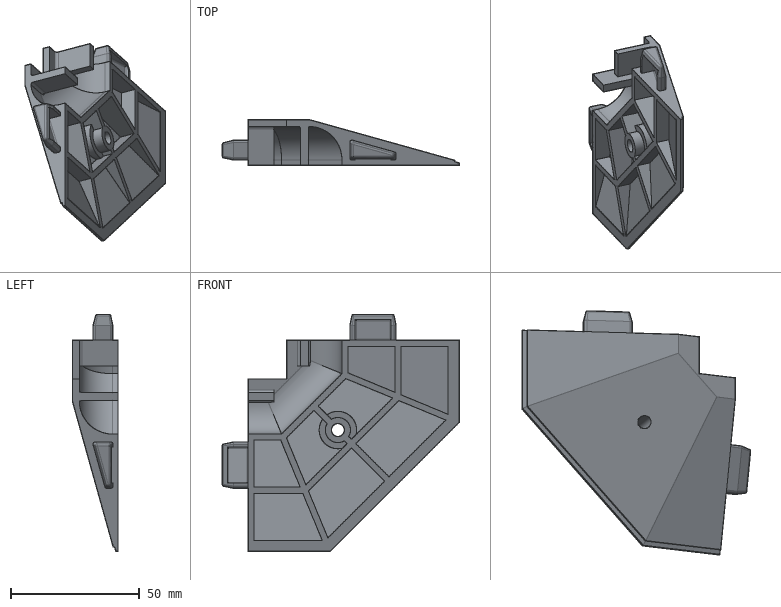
import cadquery as cq
import math


BODY_SIDE = 82.0
HEIGHT = 17.8
FLAT_END = 23.7
SLOPE_END = 80.3
SLOPE_END_HEIGHT = 1.9
TIP_STEP = 0.55
NOTCH_SIDE = 15.0
PIVOT = 3.6
LEG_TURNS = (45, 90)
REACH = 2 * BODY_SIDE
SLOPE = (HEIGHT - SLOPE_END_HEIGHT) / (SLOPE_END - FLAT_END)

CHANNEL_END = 36.4
CHANNEL_RADIUS = 13.0
CHANNEL_HEIGHT = 15.1

PLATE_START = 20.3
PLATE_THICKNESS = 3.0
PLATE_LENGTH = 10.0
PLATE_FILLET = 1.1

WALL = 2.4
SKIN = 2.5
POCKET_WIDTH = 18.2
RIB_ANGLES = (22.5, 45, 67.5)

BOSS_CENTRE = 34.9
HOLE_RADIUS = 2.5
BOSS_RADIUS = HOLE_RADIUS + WALL
PAD_RADIUS = BOSS_RADIUS + WALL
PAD_FRONT = 4.0

PEG_START = 39.5
PEG_WIDTH = 18.0
PEG_LENGTH = 10.0
PEG_STRAIGHT = 5.7
PEG_DRAFT = 12
PEG_FRONT = 2.0
PEG_GAP = 3.3
PEG_WALL = 2.0
PEG_SKIN = 2.1
PEG_ROOT_CORNER = 0.9
PEG_TIP_CORNER = 0.6
PEG_TIP_FILLET = 0.7
PEG_POCKET_FILLET = 0.5


def back_height(t):
    """Height of the back surface on the sloped stretch."""
    return HEIGHT - SLOPE * (t - FLAT_END)


def turned(solid, angle):
    """Turn a solid about the pivot, away from the leg that runs along Z."""
    return solid.rotate((-PIVOT, 0, PIVOT), (-PIVOT, 1, PIVOT), angle)


def mitred(section):
    """Run a cross-section along all three legs and keep what they share."""
    leg = section.extrude(REACH, both=True)
    solid = leg
    for angle in LEG_TURNS:
        solid = solid.intersect(turned(leg, angle))
    return solid


def with_mirror_image(solid):
    """Add the same feature on the other outer side."""
    return solid.union(solid.mirror((1, 0, 1)))


def box(x, y, z):
    """Box between the given (low, high) limits."""
    return cq.Workplane("XY").box(
        x[1] - x[0], y[1] - y[0], z[1] - z[0], centered=False
    ).translate((x[0], y[0], z[0]))


def post(radius, y_low, y_high):
    """Round post along Y at the boss centre."""
    circle = cq.Workplane("XZ", origin=(BOSS_CENTRE, y_low, -BOSS_CENTRE)).circle(radius)
    return circle.extrude(y_low - y_high)


def make_body():
    """Solid body with its square corner notched out."""
    section = cq.Workplane("XY").polyline([
        (-REACH, 0),
        (BODY_SIDE, 0),
        (BODY_SIDE, back_height(BODY_SIDE) - TIP_STEP),
        (SLOPE_END, SLOPE_END_HEIGHT - TIP_STEP),
        (SLOPE_END, SLOPE_END_HEIGHT),
        (FLAT_END, HEIGHT),
        (-REACH, HEIGHT),
    ]).close()
    square = box((0, BODY_SIDE), (0, HEIGHT), (-BODY_SIDE, 0))
    notch = box((0, NOTCH_SIDE), (0, HEIGHT), (-NOTCH_SIDE, 0))
    return mitred(section).intersect(square).cut(notch)


def make_channel():
    """Space under the flat back, closed by a quarter-round outer wall."""
    arc_start = CHANNEL_END - CHANNEL_RADIUS
    arc_base = CHANNEL_HEIGHT - CHANNEL_RADIUS
    arc_middle = CHANNEL_RADIUS * math.sqrt(0.5)
    section = (
        cq.Workplane("XY")
        .moveTo(-REACH, 0)
        .lineTo(CHANNEL_END, 0)
        .lineTo(CHANNEL_END, arc_base)
        .threePointArc(
            (arc_start + arc_middle, arc_base + arc_middle), (arc_start, CHANNEL_HEIGHT)
        )
        .lineTo(-REACH, CHANNEL_HEIGHT)
        .close()
    )
    return mitred(section)


def make_plate():
    """Plate in the channel, flared by a fillet on each side of its root."""
    start = PLATE_START
    end = PLATE_START + PLATE_THICKNESS
    root = CHANNEL_HEIGHT - PLATE_FILLET
    bend = PLATE_FILLET * (1 - math.sqrt(0.5))
    section = (
        cq.Workplane("XY")
        .moveTo(start, 0)
        .lineTo(end, 0)
        .lineTo(end, root)
        .threePointArc((end + bend, CHANNEL_HEIGHT - bend), (end + PLATE_FILLET, CHANNEL_HEIGHT))
        .lineTo(end + PLATE_FILLET, CHANNEL_HEIGHT + PLATE_FILLET)
        .lineTo(start - PLATE_FILLET, CHANNEL_HEIGHT + PLATE_FILLET)
        .lineTo(start - PLATE_FILLET, CHANNEL_HEIGHT)
        .threePointArc((start - bend, CHANNEL_HEIGHT - bend), (start, root))
        .close()
    )
    return section.extrude(-PLATE_LENGTH)


def make_pocket_band(inner):
    """Pocket band across all legs, with its floor parallel to the sloped back."""
    outer = inner + POCKET_WIDTH
    under_skin = cq.Workplane("XY").polyline([
        (-REACH, 0),
        (outer, 0),
        (outer, back_height(outer) - SKIN),
        (FLAT_END, HEIGHT - SKIN),
        (-REACH, HEIGHT - SKIN),
    ]).close()
    inside = cq.Workplane("XY").polyline([
        (-REACH, 0),
        (inner, 0),
        (inner, HEIGHT),
        (-REACH, HEIGHT),
    ]).close()
    return mitred(under_skin).cut(mitred(inside))


def make_pockets():
    """Two pocket bands split by radial ribs, leaving the stepped screw boss."""
    inner = CHANNEL_END + WALL
    pockets = make_pocket_band(inner).union(make_pocket_band(inner + POCKET_WIDTH + WALL))
    pockets = pockets.intersect(box((WALL, BODY_SIDE), (0, HEIGHT), (-BODY_SIDE, -WALL)))
    rib = box(
        (-PIVOT, REACH),
        (0, HEIGHT),
        (PIVOT - WALL / 2, PIVOT + WALL / 2),
    )
    for angle in RIB_ANGLES:
        pockets = pockets.cut(turned(rib, angle))
    pockets = pockets.cut(post(BOSS_RADIUS, 0, HEIGHT))
    return pockets.cut(post(PAD_RADIUS, PAD_FRONT, HEIGHT))


def peg_outline(start, end, front, drop):
    """Corners of an outline with a flat front and a back parallel to the body slope."""
    return [
        (start, front),
        (end, front),
        (end, back_height(end) - drop),
        (start, back_height(start) - drop),
        (start, front),
    ]


def peg_section(inset, corner):
    """Rounded cross-section of the peg, drawn in evenly on all sides."""
    outline = peg_outline(
        PEG_START + inset,
        PEG_START + PEG_WIDTH - inset,
        PEG_FRONT + inset,
        PEG_GAP + inset * math.hypot(1, SLOPE),
    )
    return cq.Sketch().polygon(outline).vertices().fillet(corner)


def make_peg():
    """Peg on the top side: straight root, drafted tip and a pocket open to the front."""
    tip_length = PEG_LENGTH - PEG_STRAIGHT
    tip_inset = tip_length * math.tan(math.radians(PEG_DRAFT))
    root_section = peg_section(0, PEG_ROOT_CORNER)
    tip_section = peg_section(tip_inset, PEG_TIP_CORNER)
    root = cq.Workplane("XY").placeSketch(root_section).extrude(PEG_STRAIGHT)
    tip = cq.Workplane("XY", origin=(0, 0, PEG_STRAIGHT)).placeSketch(
        root_section, tip_section.moved(cq.Location(cq.Vector(0, 0, tip_length)))
    ).loft(ruled=True)
    peg = root.union(tip).faces(">Z").edges().fillet(PEG_TIP_FILLET)

    end = PEG_START + PEG_WIDTH
    outline = peg_outline(PEG_START + PEG_WALL, end - PEG_WALL, 0, PEG_GAP + PEG_SKIN)
    pocket = cq.Workplane("XY").polyline(outline).close().extrude(PEG_LENGTH - PEG_WALL)
    pocket = pocket.faces(">Y").edges().fillet(PEG_POCKET_FILLET)
    return peg.cut(pocket)


body = make_body().cut(make_channel())
body = body.union(with_mirror_image(make_plate()))
body = body.cut(make_pockets())
body = body.cut(post(HOLE_RADIUS, 0, HEIGHT))
result = body.union(with_mirror_image(make_peg()))